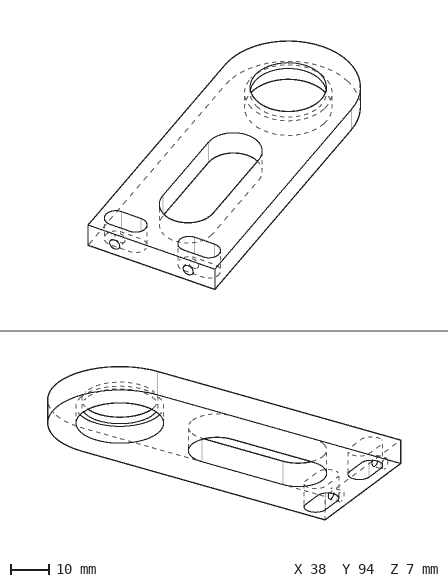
import cadquery as cq

length = 94.0
width = 38.0
thickness = 7.0
end_radius = width / 2
round_center_y = length - end_radius

bore_diameter = 20.0
lip_thickness = 2.0
counterbore_diameter = 23.0
counterbore_depth = thickness - lip_thickness

center_slot_length = 40.0
center_slot_width = 15.0
center_slot_y = 32.5

mount_slot_length = 11.9
mount_slot_width = 6.0
mount_slot_y = 6.0
mount_spacing = 22.0

screw_hole_diameter = 3.0
screw_hole_z = thickness / 2


def make_plate():
    """Plate standing on Z = 0 with its square end on Y = 0."""
    return (
        cq.Workplane("XY")
        .moveTo(-width / 2, 0)
        .lineTo(width / 2, 0)
        .lineTo(width / 2, round_center_y)
        .threePointArc((0, length), (-width / 2, round_center_y))
        .close()
        .extrude(thickness)
    )


def make_stepped_bore():
    """Through bore with a counterbore opening on the bottom face."""
    base = cq.Workplane("XY").center(0, round_center_y)
    bore = base.circle(bore_diameter / 2).extrude(thickness)
    counterbore = base.circle(counterbore_diameter / 2).extrude(counterbore_depth)
    return bore.union(counterbore)


def make_slot(x, y, slot_length, slot_width, angle):
    """Round-ended cutter through the full plate thickness."""
    return (
        cq.Workplane("XY")
        .center(x, y)
        .slot2D(slot_length, slot_width, angle)
        .extrude(thickness)
    )


def make_screw_hole(x):
    """Cylinder from the square end face to the middle of a mounting slot."""
    return (
        cq.Workplane("XZ")
        .center(x, screw_hole_z)
        .circle(screw_hole_diameter / 2)
        .extrude(-mount_slot_y)
    )


result = make_plate().cut(make_stepped_bore())
result = result.cut(make_slot(0, center_slot_y, center_slot_length, center_slot_width, 90))
for mount_x in (-mount_spacing / 2, mount_spacing / 2):
    result = result.cut(make_slot(mount_x, mount_slot_y, mount_slot_length, mount_slot_width, 0))
    result = result.cut(make_screw_hole(mount_x))